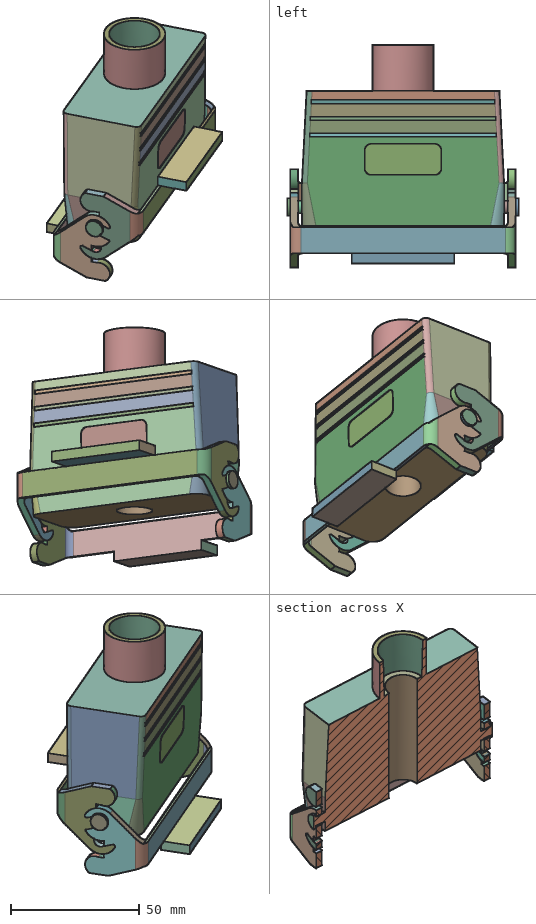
import cadquery as cq
import math


HOOD_TOP_Z = 45.4
HOOD_WAIST_Z = 9.6
HOOD_BOTTOM_Z = -7.3
HOOD_TOP_HALF_X = 16.2
HOOD_TOP_HALF_Y = 37.7
HOOD_BOTTOM_HALF_X = 14.8
HOOD_HALF_Y = 39.5
HOOD_CORNER = 2.1
HOOD_BOTTOM_CORNER = 5.4

STEM_TOP_Z = 63.4
STEM_DIAMETER = 24.0
BORE_MOUTH_DIAMETER = 19.8
BORE_FLOOR_DIAMETER = 18.9
CABLE_HOLE_DIAMETER = 14.0

GROOVE_COUNT = 3
GROOVE_TOP_Z = 41.9
GROOVE_HEIGHT = 1.45
GROOVE_PITCH = 6.5
GROOVE_DEPTH = 0.5
LABEL_LENGTH = 30.0
LABEL_HEIGHT = 12.1
LABEL_CENTRE_Z = 18.6
LABEL_CORNER = 2.6
LABEL_DEPTH = 0.2
CUTTER_THICKNESS = 1.8

PEG_RADIUS = 4.9 / 2
PEG_HEAD_RADIUS = 7.0 / 2
PEG_END_Y = 45.2

LEVER_PIVOT_GAP = 8.9
LEVER_HALF_Y = 44.0
ARM_THICKNESS = 3.1
STRAP_THICKNESS = 1.3
STRAP_OUTER_X = -18.5
STRAP_TOP_Z = -8.0
STRAP_BOTTOM_Z = -18.1
STRAP_BEND_RADIUS = 4.1
STRAP_INNER_RADIUS = 2.3
ARM_BOTTOM_Z = -23.7
JAW_RADIUS = 4.1
JAW_CENTRE_X = 2.1
JAW_CENTRE_Z = -19.8
NOTCH_X = -1.6
NOTCH_TOP_Z = -8.6
NOTCH_BOTTOM_Z = -16.0
HOOK_TOP_Z = 5.6
SNAP_SLOT_ANGLE = -20.0
HANDLE_OUTER_X = -29.1
HANDLE_LENGTH = 40.1
HANDLE_THICKNESS = 4.0

JAW_HEEL = (-3.5, ARM_BOTTOM_Z)
JAW_TOE = (4.25, ARM_BOTTOM_Z)
FINGER_MIDDLE = (2.35, -8.2)
FINGER_LOWER_CORNER = (5.8, -5.4)
FINGER_TIP = (6.0, -4.9)
FINGER_UPPER_CORNER = (5.5, -4.6)
HOOK_LOWER_CORNER = (5.3, 0.6)
HOOK_TIP = (6.15, 1.1)
HOOK_UPPER_CORNER = (6.0, 2.1)
UPPER_SLOPE_TOP = (-4.2, 4.1)
UPPER_SLOPE_FOOT = (-17.45, STRAP_TOP_Z)

STRAP_INNER_X = STRAP_OUTER_X + STRAP_THICKNESS
LEVER_REACH = 2 * abs(STRAP_OUTER_X)


def tapered_block(z_low, low, z_high, high):
    """Straight-sided block between two rounded rectangles, each (half_x, half_y, corner)."""
    lower = cq.Sketch().rect(2 * low[0], 2 * low[1]).vertices().fillet(low[2])
    upper = cq.Sketch().rect(2 * high[0], 2 * high[1]).vertices().fillet(high[2])
    upper = upper.moved(cq.Location(cq.Vector(0, 0, z_high - z_low)))
    return cq.Workplane("XY").workplane(offset=z_low).placeSketch(lower, upper).loft(ruled=True)


def hood_half_x(z):
    """Half width of the hood along X at any height."""
    share = (z - HOOD_BOTTOM_Z) / (HOOD_TOP_Z - HOOD_BOTTOM_Z)
    return HOOD_BOTTOM_HALF_X + share * (HOOD_TOP_HALF_X - HOOD_BOTTOM_HALF_X)


def hood_half_y(z):
    """Half length of the hood along Y at a height above the waist."""
    share = (z - HOOD_WAIST_Z) / (HOOD_TOP_Z - HOOD_WAIST_Z)
    return HOOD_HALF_Y + share * (HOOD_TOP_HALF_Y - HOOD_HALF_Y)


def on_hood_side(cutter, z, depth):
    """Turn a cutter that starts at the YZ plane to the slope of the +X side and sink it to a depth."""
    slope = math.degrees(math.atan2(HOOD_TOP_HALF_X - HOOD_BOTTOM_HALF_X, HOOD_TOP_Z - HOOD_BOTTOM_Z))
    tilted = cutter.rotate((0, 0, 0), (0, 1, 0), slope)
    return tilted.translate((hood_half_x(z) - depth, 0, z))


def side_cutters():
    """Grooves and label recess of the +X side."""
    cutters = []
    for index in range(GROOVE_COUNT):
        z = GROOVE_TOP_Z - GROOVE_HEIGHT / 2 - index * GROOVE_PITCH
        length = 2 * (hood_half_y(z) - HOOD_CORNER)
        groove = cq.Workplane("XY").box(CUTTER_THICKNESS, length, GROOVE_HEIGHT, centered=(False, True, True))
        cutters.append(on_hood_side(groove, z, GROOVE_DEPTH))
    label = (
        cq.Workplane("XY")
        .box(CUTTER_THICKNESS, LABEL_LENGTH, LABEL_HEIGHT, centered=(False, True, True))
        .edges("|X")
        .fillet(LABEL_CORNER)
    )
    cutters.append(on_hood_side(label, LABEL_CENTRE_Z, LABEL_DEPTH))
    return cutters


def make_pegs():
    """One headed peg for each end of the hood: the shaft crosses the lever arm, the head lies outside it."""
    pegs = []
    for side in (-1, 1):
        shaft = (
            cq.Workplane("XZ", origin=(0, -side * HOOD_HALF_Y, 0))
            .circle(PEG_RADIUS)
            .extrude(side * (LEVER_HALF_Y - HOOD_HALF_Y))
        )
        head = (
            cq.Workplane("XZ", origin=(0, -side * LEVER_HALF_Y, 0))
            .circle(PEG_HEAD_RADIUS)
            .extrude(side * (PEG_END_Y - LEVER_HALF_Y))
        )
        pegs.append(shaft.union(head))
    return pegs


def make_hood(pegs):
    waist = (hood_half_x(HOOD_WAIST_Z), HOOD_HALF_Y, HOOD_CORNER)
    top = (HOOD_TOP_HALF_X, HOOD_TOP_HALF_Y, HOOD_CORNER)
    bottom = (HOOD_BOTTOM_HALF_X, HOOD_HALF_Y, HOOD_BOTTOM_CORNER)
    hood = tapered_block(HOOD_WAIST_Z, waist, HOOD_TOP_Z, top)
    hood = hood.union(tapered_block(HOOD_BOTTOM_Z, bottom, HOOD_WAIST_Z, waist))

    for cutter in side_cutters():
        hood = hood.cut(cutter).cut(cutter.mirror("YZ"))

    stem_height = STEM_TOP_Z - HOOD_TOP_Z
    stem_base = cq.Workplane("XY").workplane(offset=HOOD_TOP_Z)
    stem = stem_base.circle(STEM_DIAMETER / 2).extrude(stem_height)
    bore = (
        stem_base.circle(BORE_FLOOR_DIAMETER / 2)
        .workplane(offset=stem_height)
        .circle(BORE_MOUTH_DIAMETER / 2)
        .loft()
    )
    cable_hole = (
        cq.Workplane("XY")
        .workplane(offset=HOOD_BOTTOM_Z)
        .circle(CABLE_HOLE_DIAMETER / 2)
        .extrude(STEM_TOP_Z - HOOD_BOTTOM_Z)
    )
    hood = hood.union(stem).cut(bore).cut(cable_hole)

    for peg in pegs:
        hood = hood.union(peg)
    return hood


def lever_profile():
    """Outline of a lever arm in X and Z around its pivot, extruded over the whole lever width."""
    angle = math.radians(SNAP_SLOT_ANGLE)
    across_x = -PEG_RADIUS * math.sin(angle)
    across_z = PEG_RADIUS * math.cos(angle)
    jaw_end_x = JAW_CENTRE_X - math.sqrt(JAW_RADIUS**2 - (NOTCH_BOTTOM_Z - JAW_CENTRE_Z) ** 2)
    return (
        cq.Workplane("XZ", origin=(0, LEVER_HALF_Y, 0))
        .moveTo(STRAP_OUTER_X, STRAP_TOP_Z)
        .lineTo(STRAP_OUTER_X, STRAP_BOTTOM_Z)
        .lineTo(STRAP_INNER_X, STRAP_BOTTOM_Z)
        .lineTo(*JAW_HEEL)
        .lineTo(*JAW_TOE)
        .threePointArc((JAW_CENTRE_X + JAW_RADIUS, JAW_CENTRE_Z), (jaw_end_x, NOTCH_BOTTOM_Z))
        .lineTo(NOTCH_X, NOTCH_BOTTOM_Z)
        .lineTo(NOTCH_X, NOTCH_TOP_Z)
        .threePointArc(FINGER_MIDDLE, FINGER_LOWER_CORNER)
        .threePointArc(FINGER_TIP, FINGER_UPPER_CORNER)
        .lineTo(-across_x, -across_z)
        .threePointArc((-across_z, across_x), (across_x, across_z))
        .lineTo(*HOOK_LOWER_CORNER)
        .threePointArc(HOOK_TIP, HOOK_UPPER_CORNER)
        .threePointArc((0, HOOK_TOP_Z), UPPER_SLOPE_TOP)
        .lineTo(*UPPER_SLOPE_FOOT)
        .close()
        .extrude(2 * LEVER_HALF_Y)
    )


def make_lever():
    """U-shaped lever with its strap on the -X side and its pivot on the Y axis."""
    outer = (
        cq.Workplane("XY", origin=(STRAP_OUTER_X, 0, ARM_BOTTOM_Z))
        .box(LEVER_REACH, 2 * LEVER_HALF_Y, LEVER_REACH, centered=(False, True, False))
        .edges("|Z and <X")
        .fillet(STRAP_BEND_RADIUS)
    )
    inner = (
        cq.Workplane("XY", origin=(STRAP_INNER_X, 0, ARM_BOTTOM_Z))
        .box(LEVER_REACH, 2 * (LEVER_HALF_Y - ARM_THICKNESS), LEVER_REACH, centered=(False, True, False))
        .edges("|Z and <X")
        .fillet(STRAP_INNER_RADIUS)
    )
    handle = cq.Workplane("XY", origin=(HANDLE_OUTER_X, 0, STRAP_BOTTOM_Z - HANDLE_THICKNESS)).box(
        STRAP_INNER_X - HANDLE_OUTER_X, HANDLE_LENGTH, HANDLE_THICKNESS, centered=(False, True, False)
    )
    return outer.cut(inner).intersect(lever_profile()).union(handle)


def make_lever_pair(pegs):
    """Two equal levers, the second turned half a turn about Y, parted where their arms cross."""
    lower = make_lever()
    upper = lower.rotate((0, 0, 0), (0, 1, 0), 180).translate((0, 0, -LEVER_PIVOT_GAP))

    above_pivot = cq.Workplane("XY", origin=(0, 0, -LEVER_PIVOT_GAP)).box(
        2 * LEVER_REACH, 4 * LEVER_HALF_Y, LEVER_REACH, centered=(True, True, False)
    )
    upper = upper.cut(lower.intersect(above_pivot))
    for peg in pegs:
        upper = upper.cut(peg)
    lower = lower.cut(upper)
    return lower, upper


pegs = make_pegs()
hood = make_hood(pegs)
lower_lever, upper_lever = make_lever_pair(pegs)

result = cq.Compound.makeCompound([body.solids().val() for body in (hood, lower_lever, upper_lever)])